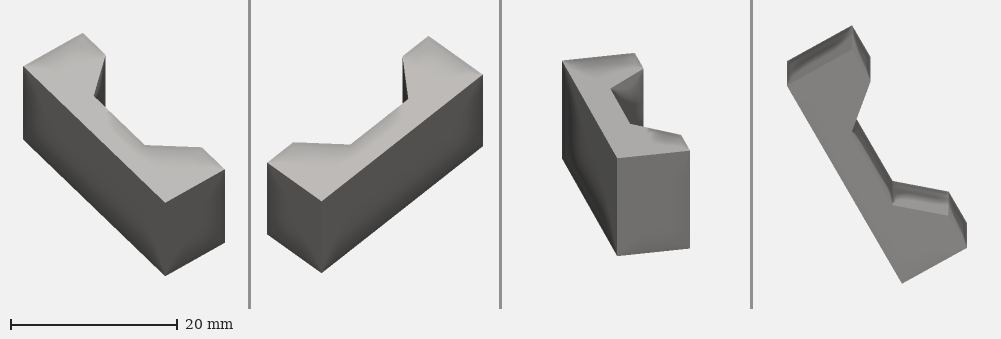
import cadquery as cq

length = 28.0
depth = 9.0
height = 13.0

shoulder_width = 4.5
floor_width = 10.08
floor_thickness = 3.78

half_length = length / 2
half_mouth = half_length - shoulder_width
half_floor = floor_width / 2

profile = [
    (-half_length, 0),
    (half_length, 0),
    (half_length, depth),
    (half_mouth, depth),
    (half_floor, floor_thickness),
    (-half_floor, floor_thickness),
    (-half_mouth, depth),
    (-half_length, depth),
]

result = cq.Workplane("XY").polyline(profile).close().extrude(height)